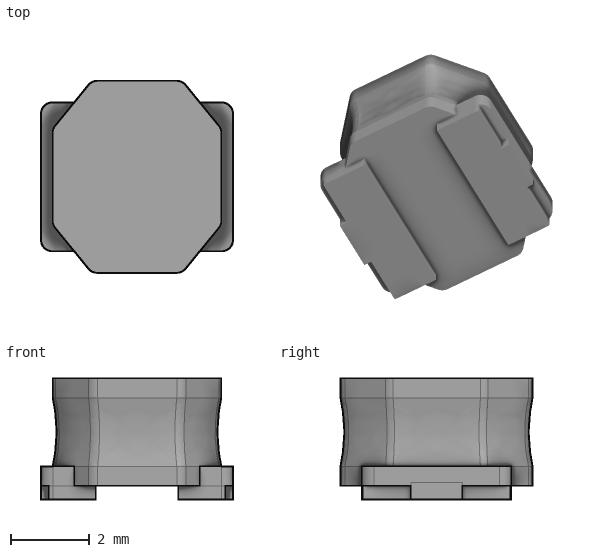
import cadquery as cq

foot_height = 0.35
flange_height = 0.5
waist_height = 1.75
flange_bottom = foot_height
flange_top = flange_bottom + flange_height
cap_bottom = flange_top + waist_height

core_length_x = 4.3
core_length_y = 4.9
core_chamfer_x = 1.0
core_chamfer_y = 1.23
core_corner_radius = 0.3
waist_inset = 0.1

base_length_x = 4.9
base_length_y = 3.8
base_corner_radius = 0.3

foot_inner_x = 1.05
foot_outer_x = 2.25
tab_width = 1.3
tab_height = 0.45


def octagon_outline(z, inset):
    """Rounded octagon at height z, with every side moved inward by inset."""
    half_x = core_length_x / 2
    half_y = core_length_y / 2
    flat_x = half_x - core_chamfer_x
    flat_y = half_y - core_chamfer_y
    corners = [
        (half_x, -flat_y),
        (half_x, flat_y),
        (flat_x, half_y),
        (-flat_x, half_y),
        (-half_x, flat_y),
        (-half_x, -flat_y),
        (-flat_x, -half_y),
        (flat_x, -half_y),
    ]
    octagon = cq.Workplane("XY", origin=(0, 0, z)).polyline(corners).close()
    if inset > 0:
        octagon = octagon.offset2D(-inset)
    face = cq.Face.makeFromWires(octagon.val())
    return face.fillet2D(core_corner_radius, face.Vertices()).outerWire()


def octagon_plate(bottom, height):
    outline = octagon_outline(bottom, 0)
    return cq.Workplane("XY").add(outline).toPending().extrude(height)


def waist():
    """Core between the flanges, with all its sides curving inward at mid height."""
    sections = [
        octagon_outline(flange_top, 0),
        octagon_outline(flange_top + waist_height / 2, waist_inset),
        octagon_outline(cap_bottom, 0),
    ]
    return cq.Workplane("XY").add(cq.Solid.makeLoft(sections))


def base_block(bottom, height):
    """Rectangular block with the rounded corners of the base plate."""
    return (
        cq.Workplane("XY", origin=(0, 0, bottom))
        .rect(base_length_x, base_length_y)
        .extrude(height)
        .edges("|Z")
        .fillet(base_corner_radius)
    )


def end_box(side, inner_x, outer_x, width, height):
    """Box standing on the bottom plane, between two distances from the middle."""
    return (
        cq.Workplane("XY")
        .center(side * (inner_x + outer_x) / 2, 0)
        .rect(outer_x - inner_x, width)
        .extrude(height)
    )


def foot(side):
    """Terminal foot: the base plate outline cropped short of the plate's end."""
    crop = end_box(side, foot_inner_x, foot_outer_x, base_length_y, foot_height)
    return base_block(0, foot_height).intersect(crop)


def tab(side):
    return end_box(side, foot_outer_x, base_length_x / 2, tab_width, tab_height)


lower_body = base_block(flange_bottom, flange_height)
lower_body = lower_body.union(octagon_plate(flange_bottom, flange_height))
for side in (-1, 1):
    lower_body = lower_body.cut(tab(side), clean=False)
    lower_body = lower_body.union(foot(side), clean=False)
    lower_body = lower_body.union(tab(side), clean=False)

result = lower_body.union(waist(), clean=False)
result = result.union(octagon_plate(cap_bottom, flange_height), clean=False)